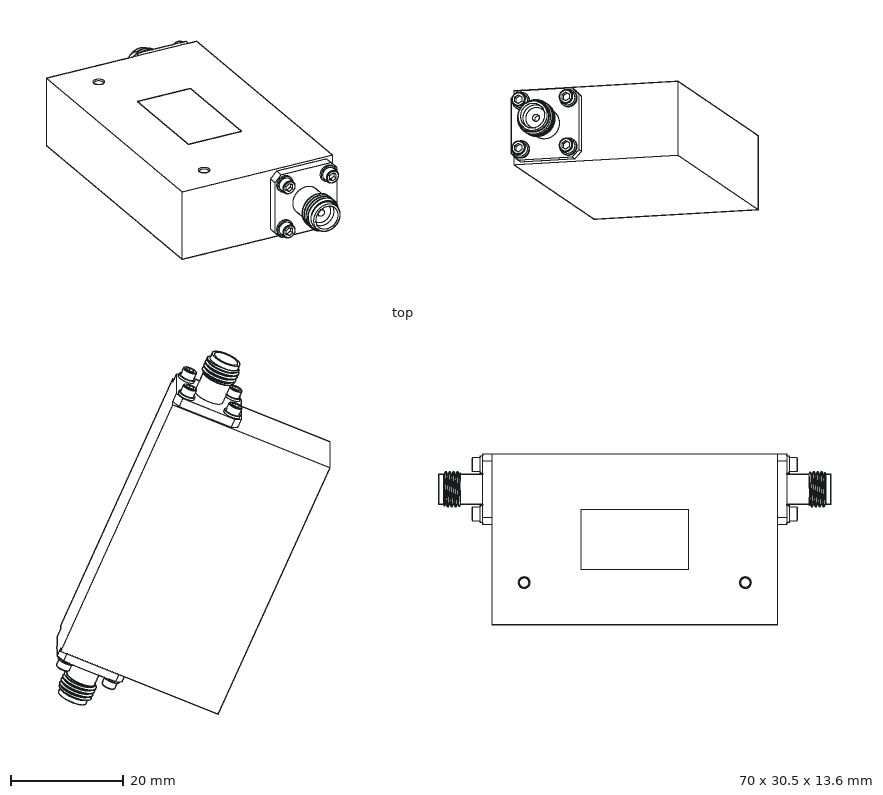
import cadquery as cq
import math

TOTAL_LENGTH = 69.95
HOUSING_WIDTH = 30.5
HOUSING_HEIGHT = 13.5
LID_THICKNESS = 1.25
LABEL_LENGTH = 19.2
LABEL_WIDTH = 10.8
LABEL_THICKNESS = 0.1
HOLE_SPACING = 39.45
HOLE_Y = -7.7
HOLE_DIAMETER = 1.7
HOLE_MOUTH_DIAMETER = 2.1
HOLE_DEPTH = 4.2
DRILL_POINT_ANGLE = 118.0

CONNECTOR_LENGTH = 9.5
FLANGE_SIZE = 12.6
FLANGE_THICKNESS = 1.7
FLANGE_CHAMFER = 1.25
BARREL_DIAMETER = 5.4
BORE_DIAMETER = 4.5
BORE_DEPTH = 1.55
BORE_FLOOR_DIAMETER = 3.8
BORE_FLOOR_DEPTH = 2.1
PIN_HOLE_DIAMETER = 1.25
PIN_HOLE_DEPTH = 1.4

THREAD_DIAMETER = 6.4
THREAD_PITCH = 0.7
THREAD_LENGTH = 3.0
THREAD_END_GAP = 0.9
THREAD_ROOT_WIDTH = 0.6
THREAD_CREST_WIDTH = 0.15
THREAD_EMBED = 0.1
THREAD_END_CHAMFER = 0.4
THREAD_CLEARANCE = 0.1

SCREW_SPACING = 8.8
WASHER_DIAMETER = 3.1
WASHER_THICKNESS = 0.4
SCREW_HEAD_DIAMETER = 2.5
SCREW_HEAD_TOP = 3.6
SCREW_HEAD_CHAMFER = 0.15
HEX_SOCKET_SIZE = 1.3
HEX_SOCKET_DEPTH = 0.85

HOUSING_LENGTH = TOTAL_LENGTH - 2 * CONNECTOR_LENGTH
CONNECTOR_Y = (HOUSING_WIDTH - FLANGE_SIZE) / 2
CONNECTOR_Z = HOUSING_HEIGHT / 2


def make_hole_cutter(x):
    """Blind drilled hole with a countersunk mouth, as a solid of revolution."""
    radius = HOLE_DIAMETER / 2
    mouth_radius = HOLE_MOUTH_DIAMETER / 2
    mouth_depth = mouth_radius - radius
    point_depth = radius / math.tan(math.radians(DRILL_POINT_ANGLE / 2))
    profile = (
        cq.Workplane("XZ")
        .moveTo(0, 0)
        .lineTo(mouth_radius, 0)
        .lineTo(radius, -mouth_depth)
        .lineTo(radius, -HOLE_DEPTH)
        .lineTo(0, -HOLE_DEPTH - point_depth)
        .close()
    )
    cutter = profile.revolve(360, (0, 0, 0), (0, 1, 0))
    return cutter.translate((x, HOLE_Y, HOUSING_HEIGHT))


def make_housing():
    """Box and lid, the lid seam kept as an edge, with the raised label plate."""
    box_height = HOUSING_HEIGHT - LID_THICKNESS
    on_base = (True, True, False)
    box = cq.Workplane("XY").box(HOUSING_LENGTH, HOUSING_WIDTH, box_height, centered=on_base)
    lid = (
        cq.Workplane("XY", origin=(0, 0, box_height))
        .box(HOUSING_LENGTH, HOUSING_WIDTH, LID_THICKNESS, centered=on_base)
    )
    label = (
        cq.Workplane("XY", origin=(0, 0, HOUSING_HEIGHT))
        .box(LABEL_LENGTH, LABEL_WIDTH, LABEL_THICKNESS, centered=on_base)
    )
    housing = box.union(lid, clean=False).union(label, clean=False)
    for x in (-HOLE_SPACING / 2, HOLE_SPACING / 2):
        housing = housing.cut(make_hole_cutter(x), clean=False)
    return housing


def make_disc(diameter, start, end):
    """Cylinder on the connector axis between two positions."""
    return cq.Workplane("YZ", origin=(start, 0, 0)).circle(diameter / 2).extrude(end - start)


def make_screw():
    """Washer and socket-head screw seated on the flange."""
    head_start = FLANGE_THICKNESS + WASHER_THICKNESS
    washer = make_disc(WASHER_DIAMETER, FLANGE_THICKNESS, head_start)
    head = (
        make_disc(SCREW_HEAD_DIAMETER, head_start, SCREW_HEAD_TOP)
        .faces(">X")
        .edges()
        .chamfer(SCREW_HEAD_CHAMFER)
    )
    socket = (
        cq.Workplane("YZ", origin=(SCREW_HEAD_TOP, 0, 0))
        .polygon(6, HEX_SOCKET_SIZE, circumscribed=True)
        .extrude(-HEX_SOCKET_DEPTH)
    )
    return washer.union(head).cut(socket)


def make_thread():
    """Helical ridge around the barrel, trimmed square at both ends and chamfered there."""
    root_radius = BARREL_DIAMETER / 2 - THREAD_EMBED
    crest_radius = THREAD_DIAMETER / 2
    thread_end = CONNECTOR_LENGTH - THREAD_END_GAP
    thread_start = thread_end - THREAD_LENGTH

    height = THREAD_LENGTH + 2 * THREAD_PITCH
    path = cq.Workplane(cq.Wire.makeHelix(THREAD_PITCH, height, root_radius))
    ridge = (
        cq.Workplane("XZ")
        .moveTo(root_radius, -THREAD_ROOT_WIDTH / 2)
        .lineTo(crest_radius, -THREAD_CREST_WIDTH / 2)
        .lineTo(crest_radius, THREAD_CREST_WIDTH / 2)
        .lineTo(root_radius, THREAD_ROOT_WIDTH / 2)
        .close()
        .sweep(path, isFrenet=True)
        .rotate((0, 0, 0), (0, 1, 0), 90)
        .translate((thread_start - THREAD_PITCH, 0, 0))
    )
    envelope = (
        make_disc(THREAD_DIAMETER + 2 * THREAD_CLEARANCE, thread_start, thread_end)
        .edges()
        .chamfer(THREAD_END_CHAMFER)
    )
    return ridge.intersect(envelope)


def make_bore():
    """Socket in the barrel: straight mouth, cone down to a flat floor, and a pin hole."""
    cone_start = CONNECTOR_LENGTH - BORE_DEPTH
    floor = CONNECTOR_LENGTH - BORE_FLOOR_DEPTH
    mouth = make_disc(BORE_DIAMETER, cone_start, CONNECTOR_LENGTH)
    cone = (
        cq.Workplane("YZ", origin=(floor, 0, 0))
        .circle(BORE_FLOOR_DIAMETER / 2)
        .workplane(offset=cone_start - floor)
        .circle(BORE_DIAMETER / 2)
        .loft()
    )
    pin_hole = make_disc(PIN_HOLE_DIAMETER, floor - PIN_HOLE_DEPTH, floor)
    return mouth.union(cone).union(pin_hole)


def make_connector():
    """Flanged coaxial connector pointing along +X from its mating face."""
    flange = (
        cq.Workplane("YZ")
        .rect(FLANGE_SIZE, FLANGE_SIZE)
        .extrude(FLANGE_THICKNESS)
        .edges("|X")
        .chamfer(FLANGE_CHAMFER)
    )
    barrel = make_disc(BARREL_DIAMETER, FLANGE_THICKNESS, CONNECTOR_LENGTH)
    connector = flange.union(barrel)

    connector = connector.union(make_thread()).cut(make_bore())

    half_spacing = SCREW_SPACING / 2
    screw = make_screw()
    for y in (-half_spacing, half_spacing):
        for z in (-half_spacing, half_spacing):
            connector = connector.union(screw.translate((0, y, z)))
    return connector


def place_connector(connector, turn, wall_x):
    """Turn the connector about the vertical and set it on a housing end wall."""
    turned = connector.rotate((0, 0, 0), (0, 0, 1), turn)
    return turned.translate((wall_x, CONNECTOR_Y, CONNECTOR_Z))


connector = make_connector()
result = make_housing()
result = result.union(place_connector(connector, 0, HOUSING_LENGTH / 2), clean=False)
result = result.union(place_connector(connector, 180, -HOUSING_LENGTH / 2), clean=False)